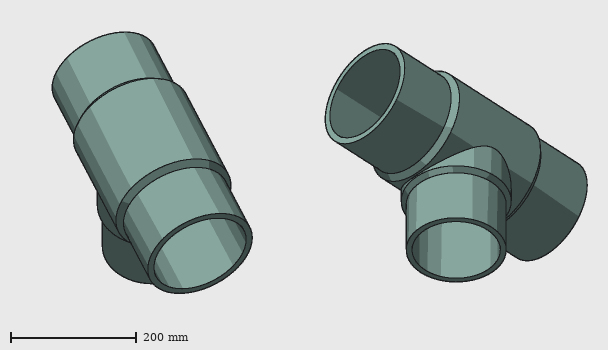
import cadquery as cq

run_length = 412.0
run_diameter = 180.0
run_bore = 158.5

sleeve_diameter = 198.0
sleeve_length = 202.5
sleeve_taper_length = 10.0

overall_height = 303.0
branch_diameter = 160.0
branch_bore = 141.0
branch_reach = overall_height - sleeve_diameter / 2

collar_diameter = 176.0
collar_reach = 110.0
collar_taper_length = 8.0


def run_cylinder(diameter, length):
    """Cylinder along X, centred on the origin."""
    return cq.Workplane("YZ").circle(diameter / 2).extrude(length / 2, both=True)


def branch_cylinder(diameter, reach):
    """Cylinder from the run axis downward."""
    return cq.Workplane("XY").circle(diameter / 2).extrude(-reach)


def make_sleeve():
    """Sleeve whose two ends taper down to the run pipe."""
    end_x = sleeve_length / 2
    shoulder_x = end_x - sleeve_taper_length
    profile = [
        (-end_x, 0),
        (-end_x, run_diameter / 2),
        (-shoulder_x, sleeve_diameter / 2),
        (shoulder_x, sleeve_diameter / 2),
        (end_x, run_diameter / 2),
        (end_x, 0),
    ]
    return cq.Workplane("XZ").polyline(profile).close().revolve(360, (0, 0), (1, 0))


def make_collar():
    """Collar whose lower end tapers down to the branch pipe."""
    profile = [
        (0, 0),
        (collar_diameter / 2, 0),
        (collar_diameter / 2, collar_taper_length - collar_reach),
        (branch_diameter / 2, -collar_reach),
        (0, -collar_reach),
    ]
    return cq.Workplane("XZ").polyline(profile).close().revolve(360, (0, 0), (0, 1))


body = (
    run_cylinder(run_diameter, run_length)
    .union(make_sleeve())
    .union(make_collar())
    .union(branch_cylinder(branch_diameter, branch_reach))
)

result = (
    body
    .cut(run_cylinder(run_bore, run_length))
    .cut(branch_cylinder(branch_bore, branch_reach))
)